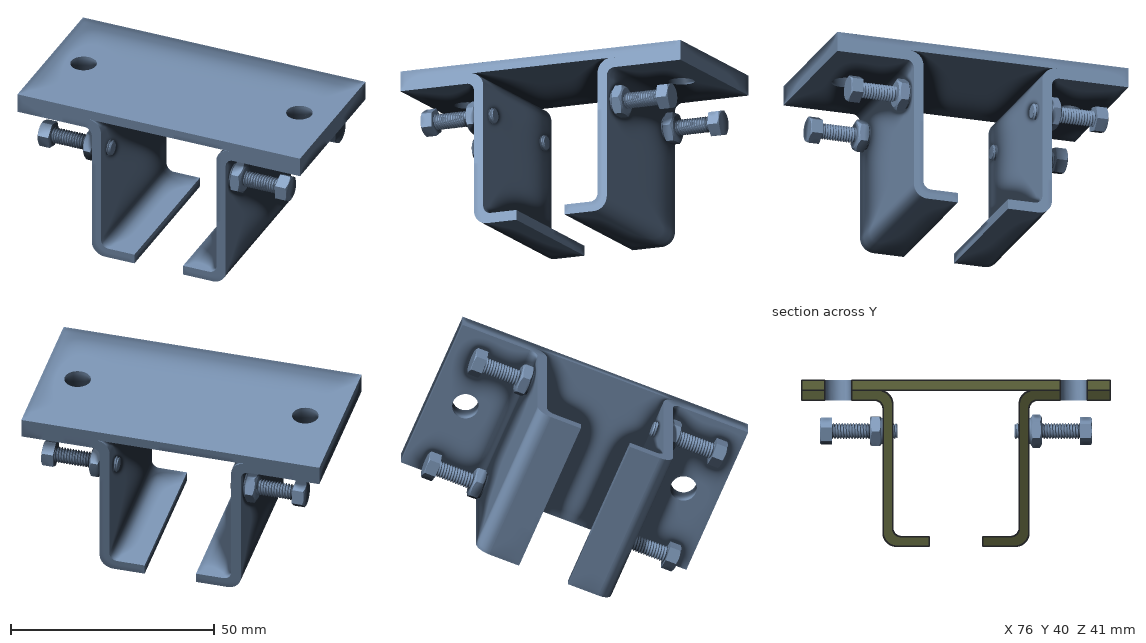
import cadquery as cq
import math

plate_length = 76.0
plate_width = 40.0
sheet = 2.5
mount_hole_diameter = 6.5
mount_hole_x = 29.0

bracket_height = 38.45
web_outer_x = 18.0
lip_end_x = 6.5
outer_bend_radius = 3.5
inner_bend_radius = 2.0

screw_y = 15.05
screw_z = -10.0
screw_hole_diameter = 4.0
screw_length = 16.0
thread_diameter = 3.95
thread_root_diameter = 3.1
tip_diameter = 3.3
thread_pitch = 0.7
ridge_base_width = 0.7
ridge_crest_width = 0.09
ridge_sink = 0.1
head_across_flats = 6.0
head_height = 3.05
head_face_diameter = 5.8
nut_across_flats = 7.15
nut_height = 3.2
nut_face_diameter = 6.3
washer_face_diameter = 6.45
washer_face_height = 0.3
corner_chamfer_angle = 30.0
tip_protrusion = 1.1

web_inner_x = web_outer_x - sheet
tip_x = web_inner_x - tip_protrusion
nut_start = screw_length - tip_protrusion - sheet - nut_height

screw_placements = [
    (-1, -screw_y, 15.0, 1.0),
    (-1, screw_y, 15.0, -2.0),
    (1, -screw_y, 30.0, 35.0),
    (1, screw_y, 30.0, 35.0),
]


def make_plate():
    """Flat top plate with two mounting holes."""
    return (
        cq.Workplane("XY")
        .box(plate_length, plate_width, sheet, centered=(True, True, False))
        .faces(">Z")
        .workplane(origin=(0, 0, 0))
        .pushPoints([(-mount_hole_x, 0), (mount_hole_x, 0)])
        .hole(mount_hole_diameter)
    )


def make_bracket(side):
    """Flange, web and lip on one side of the part (side is -1 or +1), with its holes."""
    outline = [
        (plate_length / 2, 0),
        (web_inner_x, 0),
        (web_inner_x, sheet - bracket_height),
        (lip_end_x, sheet - bracket_height),
        (lip_end_x, -bracket_height),
        (web_outer_x, -bracket_height),
        (web_outer_x, -sheet),
        (plate_length / 2, -sheet),
    ]
    bracket = (
        cq.Workplane("XZ")
        .polyline([(side * x, z) for x, z in outline])
        .close()
        .extrude(plate_width / 2, both=True)
    )

    bends = [
        (web_inner_x, 0, outer_bend_radius),
        (web_outer_x, -sheet, inner_bend_radius),
        (web_outer_x, -bracket_height, outer_bend_radius),
        (web_inner_x, sheet - bracket_height, inner_bend_radius),
    ]
    for x, z, radius in bends:
        corner = cq.selectors.NearestToPointSelector((side * x, 0, z))
        bracket = bracket.edges("|Y").edges(corner).fillet(radius)

    mount_hole = (
        cq.Workplane("XY")
        .center(side * mount_hole_x, 0)
        .circle(mount_hole_diameter / 2)
        .extrude(-sheet)
    )
    screw_holes = (
        cq.Workplane("YZ", origin=(side * web_inner_x, 0, 0))
        .pushPoints([(-screw_y, screw_z), (screw_y, screw_z)])
        .circle(screw_hole_diameter / 2)
        .extrude(side * sheet)
    )
    return bracket.cut(mount_hole).cut(screw_holes)


def hexagon(across_flats, height, turn):
    """Hexagonal prism on the XY plane, with a corner at the angle `turn` from +X."""
    corner_diameter = across_flats / math.cos(math.pi / 6)
    prism = cq.Workplane("XY").polygon(6, corner_diameter).extrude(height)
    return prism.rotate((0, 0, 0), (0, 0, 1), turn)


def chamfer_corners(prism, across_flats, face_diameter, end_heights):
    """Trim the corners of a hexagon with a cone at each of the given ends (0 is the lower one)."""
    face_radius = face_diameter / 2
    outside = across_flats
    rise = (outside - face_radius) * math.tan(math.radians(corner_chamfer_angle))
    for end in end_heights:
        inward = rise if end == 0 else -rise
        ring = (
            cq.Workplane("XZ")
            .polyline([(face_radius, end), (outside, end), (outside, end + inward)])
            .close()
            .revolve(360, (0, 0, 0), (0, 1, 0))
        )
        prism = prism.cut(ring)
    return prism


def make_head(turn):
    """Hexagonal head below Z = 0, with its outer corners chamfered."""
    head = hexagon(head_across_flats, head_height, turn)
    head = chamfer_corners(head, head_across_flats, head_face_diameter, [0])
    return head.translate((0, 0, -head_height))


def make_nut(turn):
    """Nut with both ends chamfered and a round washer face toward the screw tip."""
    hex_height = nut_height - washer_face_height
    nut = hexagon(nut_across_flats, hex_height, turn)
    nut = chamfer_corners(nut, nut_across_flats, nut_face_diameter, [0, hex_height])
    washer_face = (
        cq.Workplane("XY", origin=(0, 0, hex_height))
        .circle(washer_face_diameter / 2)
        .extrude(washer_face_height)
    )
    return nut.union(washer_face).translate((0, 0, nut_start))


def make_threaded_shank():
    """Right-hand helical ridge on a root cylinder, from Z = 0 to a chamfered tip."""
    root_radius = thread_root_diameter / 2
    crest_radius = thread_diameter / 2
    start = -thread_pitch
    long_shank = screw_length + 2 * thread_pitch
    helix = cq.Wire.makeHelix(thread_pitch, long_shank, root_radius, center=cq.Vector(0, 0, start))
    ridge = (
        cq.Workplane("XZ", origin=(0, 0, start))
        .polyline([
            (root_radius - ridge_sink, -ridge_base_width / 2),
            (crest_radius, -ridge_crest_width / 2),
            (crest_radius, ridge_crest_width / 2),
            (root_radius - ridge_sink, ridge_base_width / 2),
        ])
        .close()
        .sweep(cq.Workplane(obj=helix), isFrenet=True)
    )
    root = (
        cq.Workplane("XY", origin=(0, 0, start - thread_pitch))
        .circle(root_radius)
        .extrude(long_shank + 2 * thread_pitch)
    )
    trim = (
        cq.Workplane("XY")
        .circle(thread_diameter)
        .extrude(screw_length)
        .faces(">Z")
        .chamfer(thread_diameter - tip_diameter / 2)
    )
    return root.union(ridge).intersect(trim)


def make_screw(shank, side, y, head_turn, nut_turn):
    """Screw with its nut, built along +Z from under the head, then laid to point inward."""
    head = make_head(90 + side * head_turn)
    nut = make_nut(90 + side * nut_turn)
    screw = shank.union(head).union(nut)
    screw = screw.rotate((0, 0, 0), (0, 1, 0), -90 * side)
    under_head_x = tip_x + screw_length
    return screw.translate((side * under_head_x, y, screw_z))


plate = make_plate()
brackets = [make_bracket(side) for side in (-1, 1)]
shank = make_threaded_shank()
screws = [make_screw(shank, *placement) for placement in screw_placements]

result = cq.Compound.makeCompound(
    [plate.val()] + [bracket.val() for bracket in brackets] + [screw.val() for screw in screws]
)